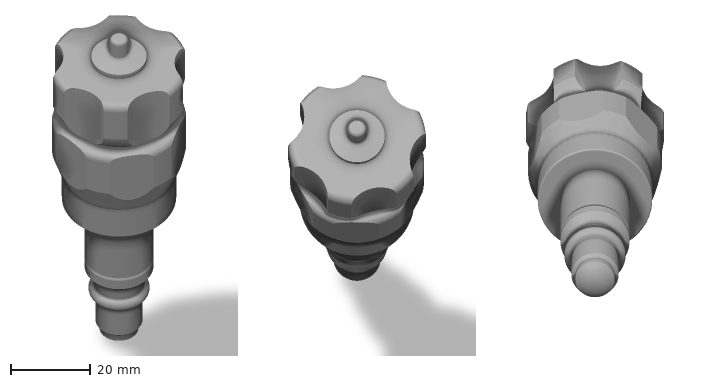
import cadquery as cq
import math

nose_radius = 5.0
nose_sphere_radius = 7.0
nose_rim_z = nose_sphere_radius - math.sqrt(nose_sphere_radius**2 - nose_radius**2)
nose_top_z = 4.0
plug_radius = 6.0
plug_chamfer = plug_radius - nose_radius
ring_z = 16.0
ring_section_radius = 1.75
ring_root_fillet = 0.5
neck_radius = 6.45
neck_top_z = 21.3
shaft_radius = 8.75
collar_bottom_z = neck_top_z + shaft_radius - neck_radius
collar_top_z = 27.15
collar_fillet = 0.8
groove_radius = 8.2
groove_height = 0.25

sleeve_radius = 14.5
sleeve_bottom_z = 47.0
sleeve_fillet = 0.5
sleeve_top_z = 56.7
nut_radius = 17.0
nut_across_flats = 32.0
nut_corner_bottom_z = 64.4
nut_top_z = 77.0
nut_fillet = 2.0

spacer_radius = 11.8
knob_radius = 17.5
knob_bottom_z = 78.1
knob_side_bottom_z = 83.95
knob_top_z = 95.3
knob_fillet = 2.0
knob_bottom_radius = 14.0
knob_bottom_arc_radius = 12.0
flute_count = 6
flute_radius = 8.75
flute_center_distance = 22.84
flute_start_angle = -14.15

disc_radius = 7.0
disc_top_z = 96.6
cone_top_z = 97.75
pin_radius = 2.25
pin_fillet = 1.0
pin_root_fillet = 0.5
overall_height = 102.96


def cylinder(radius, bottom_z, top_z):
    return cq.Workplane("XY").workplane(offset=bottom_z).circle(radius).extrude(top_z - bottom_z)


def revolve_profile(profile):
    """Turn a closed profile drawn in the XZ plane about the Z axis."""
    return profile.close().revolve(360, (0, 0, 0), (0, 1, 0))


def circle_at(radius, z):
    """Select the circular edge of the given radius at height z on a turned body."""
    margin = 0.05
    return cq.selectors.BoxSelector(
        (-radius - margin, -radius - margin, z - margin),
        (radius + margin, radius + margin, z + margin),
        boundingbox=True,
    )


def make_plug():
    ring_bottom_z = ring_z - ring_section_radius
    ring_top_z = ring_z + math.sqrt(ring_section_radius**2 - (neck_radius - plug_radius) ** 2)
    nose_mid_radius = nose_radius / 2
    nose_mid_z = nose_sphere_radius - math.sqrt(nose_sphere_radius**2 - nose_mid_radius**2)
    body = revolve_profile(
        cq.Workplane("XZ")
        .threePointArc((nose_mid_radius, nose_mid_z), (nose_radius, nose_rim_z))
        .lineTo(nose_radius, nose_top_z)
        .lineTo(plug_radius, nose_top_z + plug_chamfer)
        .lineTo(plug_radius, ring_bottom_z)
        .threePointArc((plug_radius + ring_section_radius, ring_z), (neck_radius, ring_top_z))
        .lineTo(neck_radius, neck_top_z)
        .lineTo(shaft_radius, collar_bottom_z)
        .lineTo(shaft_radius, collar_top_z)
        .lineTo(0, collar_top_z)
    )
    body = body.faces(">Z").edges().fillet(collar_fillet)
    ring_roots = body.edges(circle_at(plug_radius, ring_bottom_z)).add(
        body.edges(circle_at(neck_radius, ring_top_z))
    )
    body = body.newObject(ring_roots.vals()).fillet(ring_root_fillet)
    shaft_bottom_z = collar_top_z + groove_height
    groove_core = cylinder(groove_radius, collar_top_z, shaft_bottom_z)
    return body.union(groove_core).union(cylinder(shaft_radius, shaft_bottom_z, sleeve_bottom_z))


def make_nut():
    blank = revolve_profile(
        cq.Workplane("XZ")
        .moveTo(0, sleeve_bottom_z)
        .lineTo(sleeve_radius, sleeve_bottom_z)
        .lineTo(sleeve_radius, sleeve_top_z)
        .lineTo(nut_radius, nut_corner_bottom_z)
        .lineTo(nut_radius, nut_top_z)
        .lineTo(0, nut_top_z)
    )
    blank = blank.faces(">Z").edges().fillet(nut_fillet)
    blank = blank.faces("<Z").edges().fillet(sleeve_fillet)
    across_corners = nut_across_flats / math.cos(math.pi / 6)
    hexagon = cq.Workplane("XY").workplane(offset=sleeve_bottom_z).polygon(6, across_corners)
    return blank.intersect(hexagon.extrude(nut_top_z - sleeve_bottom_z))


def make_knob():
    knob = revolve_profile(
        cq.Workplane("XZ")
        .moveTo(0, knob_bottom_z)
        .lineTo(knob_bottom_radius, knob_bottom_z)
        .radiusArc((knob_radius, knob_side_bottom_z), -knob_bottom_arc_radius)
        .lineTo(knob_radius, knob_top_z)
        .lineTo(0, knob_top_z)
    )
    knob = knob.faces(">Z").edges().fillet(knob_fillet)
    flutes = (
        cq.Workplane("XY")
        .workplane(offset=knob_bottom_z)
        .polarArray(flute_center_distance, flute_start_angle, 360, flute_count)
        .circle(flute_radius)
        .extrude(knob_top_z - knob_bottom_z)
    )
    return knob.cut(flutes)


def make_pin():
    pin = revolve_profile(
        cq.Workplane("XZ")
        .moveTo(0, knob_top_z)
        .lineTo(disc_radius, knob_top_z)
        .lineTo(disc_radius, disc_top_z)
        .lineTo(pin_radius, cone_top_z)
        .lineTo(pin_radius, overall_height)
        .lineTo(0, overall_height)
    )
    pin = pin.faces(">Z").edges().fillet(pin_fillet)
    return pin.edges(circle_at(pin_radius, cone_top_z)).fillet(pin_root_fillet)


spacer = cylinder(spacer_radius, nut_top_z, knob_bottom_z)
result = make_plug().union(make_nut()).union(spacer).union(make_knob()).union(make_pin())